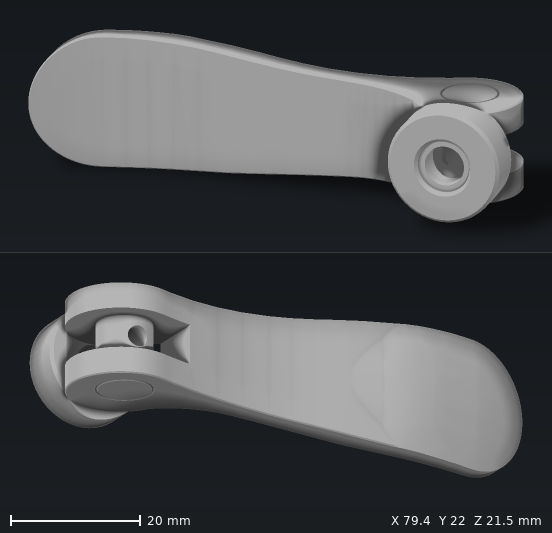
import cadquery as cq
import math


washer_diameter = 18.1
washer_radius = washer_diameter / 2
washer_height = 7.3
washer_chamfer = 0.5
bore_diameter = 6.35
counterbore_diameter = 8.35
counterbore_depth = 0.95
counterbore_mouth_diameter = 9.35

cam_radius = 8.68
cam_offset = -1.13
cam_top = cam_offset + cam_radius
head_width = 15.0
overall_depth = 22.0
washer_face = cam_top - overall_depth
washer_top = washer_face + washer_height

pin_diameter = 9.0
pin_radius = pin_diameter / 2
pin_end_diameter = 8.35
pin_chamfer = (pin_diameter - pin_end_diameter) / 2
pin_hole_diameter = 3.4
pin_countersink_diameter = pin_diameter

slot_width = 6.5
slot_end = -8.85

edge_break = 0.2

overall_length = 79.44
handle_width = 21.5
tip_radius = handle_width / 2
tip = washer_radius - overall_length
tip_centre = tip + tip_radius
flank_joint = -35.2
neck = -4.95
flank_slope = (handle_width - head_width) / (neck - tip_centre)
joint_half_width = tip_radius - flank_slope * (flank_joint - tip_centre) / 2

belly_tip = (tip, -3.95)
belly_tip_middle = (-57.5, 0.65)
belly_break = (-44.1, 1.0)
belly_middle = (-32.0, -0.55)
belly_neck = (-19.2, -1.05)
belly_neck_middle = (-12.3, -2.5)
heel_x = -7.55
belly_heel = (heel_x, cam_offset - math.sqrt(cam_radius**2 - heel_x**2))

back_cam_x = -3.2
back_cam = (back_cam_x, cam_offset + math.sqrt(cam_radius**2 - back_cam_x**2))
back_neck = (-31.7, 3.72)
back_break = (-49.2, 5.25)
back_tip = (tip, -1.5)

crown_radius = 52.0
crown_peak = 6.3
crown_axis = crown_peak - crown_radius
crown_tip = (tip, 0.2)
crown_rise = (-60.0, 4.5)
crown_shoulder = (-51.5, 6.1)
crown_top = (-48.8, crown_peak)
crown_fall = (-43.0, 5.5)
crown_runout = (-36.0, 4.2)
crown_seat_tip = (tip, -2.2)
crown_seat_middle = (-56.0, 2.3)


def quarter_half_width(flat_end):
    """Half width midway along a flank arc that starts parallel to X at flat_end."""
    return flat_end + (joint_half_width - flat_end) / 4


def make_outline():
    """Handle seen along Y: round tip, two tangent arcs per side, straight head."""
    half_head = head_width / 2
    convex_middle = (tip_centre + flank_joint) / 2
    concave_middle = (flank_joint + neck) / 2
    convex_half_width = quarter_half_width(tip_radius)
    concave_half_width = quarter_half_width(half_head)
    outline = (
        cq.Workplane("XZ")
        .moveTo(tip_centre, -tip_radius)
        .threePointArc((tip, 0), (tip_centre, tip_radius))
        .threePointArc((convex_middle, convex_half_width), (flank_joint, joint_half_width))
        .threePointArc((concave_middle, concave_half_width), (neck, half_head))
        .lineTo(washer_radius, half_head)
        .lineTo(washer_radius, -half_head)
        .lineTo(neck, -half_head)
        .threePointArc((concave_middle, -concave_half_width), (flank_joint, -joint_half_width))
        .threePointArc((convex_middle, -convex_half_width), (tip_centre, -tip_radius))
        .close()
    )
    return outline.extrude(2 * overall_depth, both=True)


def make_profile():
    """Lever seen along Z: belly, cam head and the flat part of the back."""
    profile = (
        cq.Workplane("XY")
        .moveTo(*belly_tip)
        .threePointArc(belly_tip_middle, belly_break)
        .threePointArc(belly_middle, belly_neck)
        .threePointArc(belly_neck_middle, belly_heel)
        .threePointArc((cam_radius, cam_offset), back_cam)
        .tangentArcPoint(back_neck, relative=False)
        .tangentArcPoint(back_break, relative=False)
        .lineTo(*back_tip)
        .close()
    )
    return profile.extrude(handle_width, both=True)


def make_crown():
    """Back of the handle, rounded across its width and running out into the flat back."""
    runout = crown_runout[0]
    hump = (
        cq.Workplane("XY")
        .moveTo(tip, crown_axis)
        .lineTo(*crown_tip)
        .threePointArc(crown_rise, crown_shoulder)
        .threePointArc(crown_top, crown_fall)
        .lineTo(*crown_runout)
        .lineTo(runout, crown_axis)
        .close()
        .revolve(360, (tip, crown_axis), (runout, crown_axis))
    )
    upper_half = (
        cq.Workplane("XY")
        .moveTo(*crown_seat_tip)
        .lineTo(*crown_seat_middle)
        .lineTo(runout, crown_seat_middle[1])
        .lineTo(runout, overall_depth)
        .lineTo(tip, overall_depth)
        .close()
        .extrude(handle_width, both=True)
    )
    return hump.intersect(upper_half)


def make_slot():
    slot_length = washer_radius - slot_end
    return (
        cq.Workplane("XY")
        .box(slot_length, 2 * overall_depth, slot_width)
        .translate((slot_end + slot_length / 2, 0, 0))
    )


def make_pin_hole():
    """Hole for the pin, with a broken edge at both mouths."""
    hole = cq.Workplane("XY").circle(pin_radius).extrude(head_width, both=True)
    for side in (-1, 1):
        mouth = cq.Solid.makeCone(
            pin_radius + edge_break,
            pin_radius,
            edge_break,
            cq.Vector(0, 0, side * head_width / 2),
            cq.Vector(0, 0, -side),
        )
        hole = hole.union(cq.Workplane(mouth))
    return hole


def make_lever():
    outline = make_outline()
    body = make_profile().intersect(outline).edges("not(|Y or |Z)").chamfer(edge_break)
    body = body.cut(make_slot()).cut(make_pin_hole())
    return body.union(make_crown().intersect(outline))


def make_pin():
    pin = (
        cq.Workplane("XY")
        .circle(pin_radius)
        .extrude(head_width / 2, both=True)
        .faces("|Z")
        .chamfer(pin_chamfer)
    )
    hole = (
        cq.Workplane("XZ", origin=(0, -pin_radius, 0))
        .circle(pin_hole_diameter / 2)
        .extrude(-pin_diameter)
    )
    countersink = cq.Solid.makeCone(
        pin_countersink_diameter / 2,
        pin_hole_diameter / 2,
        (pin_countersink_diameter - pin_hole_diameter) / 2,
        cq.Vector(0, -pin_radius, 0),
        cq.Vector(0, 1, 0),
    )
    return pin.cut(hole).cut(cq.Workplane(countersink))


def make_washer():
    """Round washer with a stepped bore and a cylindrical cradle for the cam."""
    washer = (
        cq.Workplane("XZ", origin=(0, washer_top, 0))
        .circle(washer_radius)
        .extrude(washer_height)
        .faces("|Y")
        .chamfer(washer_chamfer)
        .faces("<Y")
        .workplane()
        .cboreHole(bore_diameter, counterbore_diameter, counterbore_depth)
    )
    mouth = cq.Solid.makeCone(
        counterbore_mouth_diameter / 2,
        counterbore_diameter / 2,
        (counterbore_mouth_diameter - counterbore_diameter) / 2,
        cq.Vector(0, washer_face, 0),
        cq.Vector(0, 1, 0),
    )
    cradle = (
        cq.Workplane("XY")
        .center(0, cam_offset)
        .circle(cam_radius)
        .extrude(washer_diameter, both=True)
    )
    return washer.cut(cq.Workplane(mouth)).cut(cradle)


lever = make_lever()
pin = make_pin()
washer = make_washer()
result = cq.Compound.makeCompound([lever.val(), pin.val(), washer.val()])